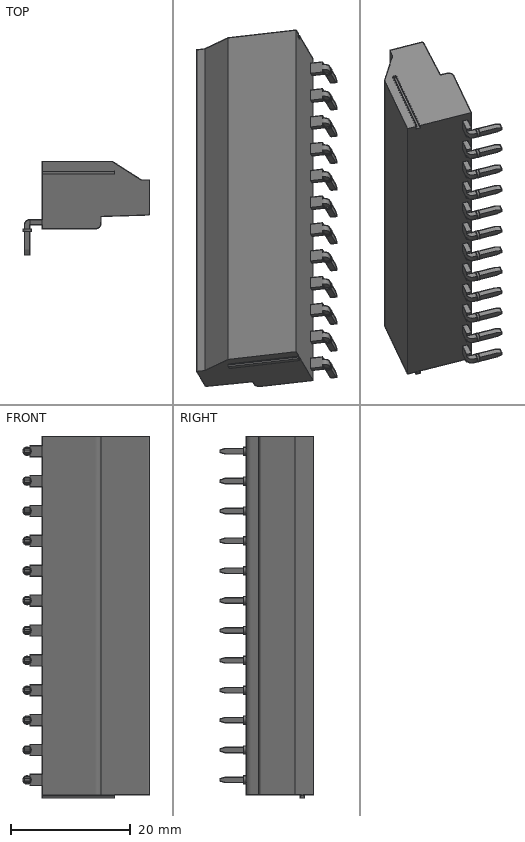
import cadquery as cq

pin_count = 12
pin_pitch = 5.0

housing_length = 18.0
housing_depth = 11.3
housing_height = pin_count * pin_pitch
foot_length = 9.9
foot_corner_radius = 0.9
foot_wall_draft = 0.07
nose_underside_start = 2.05
nose_underside_end = 2.3
nose_corner_radius = 0.3
nose_top = 8.2
slope_start = 11.75
slope_end = 16.6

rib_height = 0.57
rib_length = 12.15
rib_neck_width = 0.4
rib_neck_height = 0.19
rib_head_width = 0.75
rib_inset = 1.9
rib_center_y = housing_depth - rib_inset

pin_width = 0.95
pin_axis_x = -2.5
pin_bend_top = 1.55
pin_tip_y = -4.4
pin_tip_width = 0.4
pin_taper_length = 0.9
collar_diameter = 1.4
collar_thickness = 0.45
blade_width = 1.9
blade_thickness = 0.9

pin_outer_x = pin_axis_x - pin_width / 2
pin_inner_x = pin_axis_x + pin_width / 2


def make_housing():
    """Constant cross-section housing with a foot and a sloped nose."""
    profile = (
        cq.Workplane("XY")
        .lineTo(foot_length - foot_wall_draft, 0)
        .lineTo(foot_length, nose_underside_start)
        .lineTo(housing_length, nose_underside_end)
        .lineTo(housing_length, nose_top)
        .lineTo(slope_end, nose_top)
        .lineTo(slope_start, housing_depth)
        .lineTo(0, housing_depth)
        .close()
    )
    mid_height = housing_height / 2
    foot_corner = cq.selectors.NearestToPointSelector((foot_length, 0, mid_height))
    nose_corner = cq.selectors.NearestToPointSelector((housing_length, nose_underside_end, mid_height))
    return (
        profile.extrude(housing_height)
        .edges(foot_corner)
        .fillet(foot_corner_radius)
        .edges(nose_corner)
        .fillet(nose_corner_radius)
    )


def make_rib(root_z):
    """T-shaped rib hanging down from root_z, starting at the back face."""
    head_height = rib_height - rib_neck_height
    neck = cq.Workplane("XY").box(
        rib_length, rib_neck_width, rib_height, centered=(False, True, False)
    )
    head = cq.Workplane("XY").box(
        rib_length, rib_head_width, head_height, centered=(False, True, False)
    )
    return neck.union(head).translate((0, rib_center_y, root_z - rib_height))


def make_pin():
    """Right-angle pin with its axis at Z = 0: bent leg, blade, collar and tapered tip."""
    bend_start_y = pin_bend_top - pin_width
    leg = (
        cq.Workplane("XY")
        .moveTo(pin_inner_x, pin_bend_top)
        .lineTo(pin_inner_x, pin_tip_y)
        .lineTo(pin_outer_x, pin_tip_y)
        .lineTo(pin_outer_x, bend_start_y)
        .radiusArc((pin_inner_x, pin_bend_top), pin_width)
        .close()
        .extrude(pin_width / 2, both=True)
    )
    taper_start_y = pin_tip_y + pin_taper_length
    silhouette = (
        cq.Workplane("YZ", origin=(pin_outer_x, 0, 0))
        .moveTo(pin_bend_top, pin_width / 2)
        .lineTo(taper_start_y, pin_width / 2)
        .lineTo(pin_tip_y, pin_tip_width / 2)
        .lineTo(pin_tip_y, -pin_tip_width / 2)
        .lineTo(taper_start_y, -pin_width / 2)
        .lineTo(pin_bend_top, -pin_width / 2)
        .close()
        .extrude(pin_width)
    )
    blade = (
        cq.Workplane("XY")
        .box(-pin_inner_x, blade_thickness, blade_width, centered=(False, False, True))
        .translate((pin_inner_x, pin_bend_top - blade_thickness, 0))
    )
    collar = (
        cq.Workplane("XZ", origin=(pin_axis_x, 0, 0))
        .circle(collar_diameter / 2)
        .extrude(collar_thickness)
    )
    return leg.intersect(silhouette).union(blade).union(collar)


result = make_housing().cut(make_rib(housing_height)).union(make_rib(0))

pin = make_pin()
for index in range(pin_count):
    pin_z = (index + 0.5) * pin_pitch
    result = result.union(pin.translate((0, 0, pin_z)))